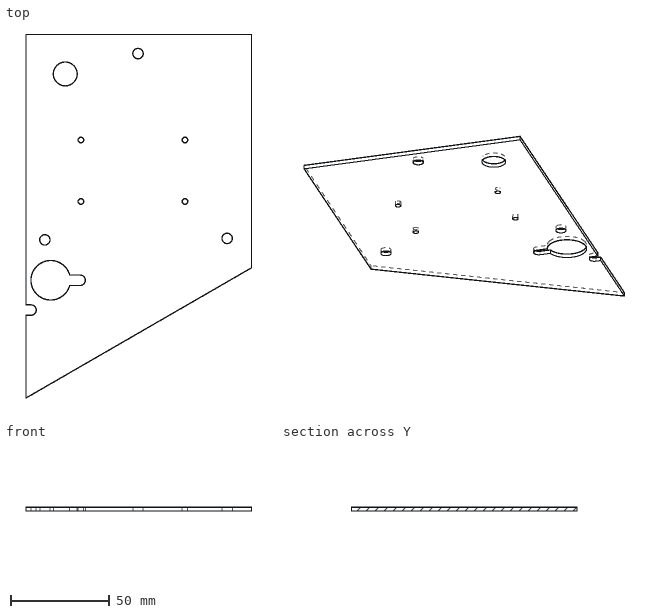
import cadquery as cq
import math

width = 115.0
height = 185.6
thickness = 2.0
slope_angle = 30.0
right_edge_bottom = width * math.tan(math.radians(slope_angle))

screw_diameter = 2.8
screw_center = (54.5, 116.0)
screw_spacing_x = 53.0
screw_spacing_y = 31.4

mount_diameter = 5.2
mount_points = [(57.2, 175.8), (102.6, 81.5), (9.7, 80.7)]
access_diameter = 12.0
access_point = (20.0, 165.4)

keyhole_diameter = 20.0
keyhole_center = (12.6, 60.1)
slot_width = 5.2
keyhole_slot_tip = 30.3

notch_tip = 5.2
notch_y = 45.0


def through_holes(points, diameter):
    return cq.Workplane("XY").pushPoints(points).circle(diameter / 2).extrude(thickness)


def round_ended_slot(start_x, tip_x, y):
    """Slot along X, square at start_x and rounded at tip_x."""
    radius = slot_width / 2
    arc_start_x = tip_x - radius
    return (
        cq.Workplane("XY")
        .moveTo(start_x, y - radius)
        .lineTo(arc_start_x, y - radius)
        .threePointArc((tip_x, y), (arc_start_x, y + radius))
        .lineTo(start_x, y + radius)
        .close()
        .extrude(thickness)
    )


plate = (
    cq.Workplane("XY")
    .polyline([(0, 0), (width, right_edge_bottom), (width, height), (0, height)])
    .close()
    .extrude(thickness)
)

screw_holes = (
    cq.Workplane("XY")
    .center(*screw_center)
    .rarray(screw_spacing_x, screw_spacing_y, 2, 2)
    .circle(screw_diameter / 2)
    .extrude(thickness)
)

keyhole_x, keyhole_y = keyhole_center
keyhole = through_holes([keyhole_center], keyhole_diameter).union(
    round_ended_slot(keyhole_x, keyhole_slot_tip, keyhole_y)
)

notch = round_ended_slot(-slot_width, notch_tip, notch_y)

result = (
    plate.cut(screw_holes)
    .cut(through_holes(mount_points, mount_diameter))
    .cut(through_holes([access_point], access_diameter))
    .cut(keyhole)
    .cut(notch)
)